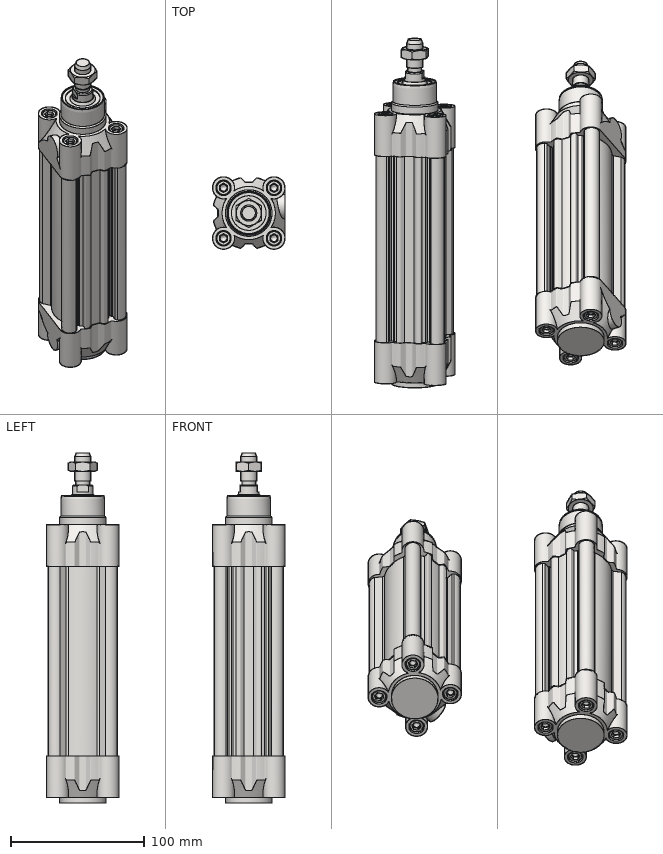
import cadquery as cq
import math

OVERALL_LENGTH = 263.0
PILOT_HEIGHT = 4.2
CAP_HEIGHT = 31.3
TUBE_LENGTH = 142.3
REAR_JOINT_Z = PILOT_HEIGHT + CAP_HEIGHT
FRONT_JOINT_Z = REAR_JOINT_Z + TUBE_LENGTH

CAP_WIDTH = 54.5
LUG_PITCH = 38.0
HALF_PITCH = LUG_PITCH / 2
LUG_RADIUS = (CAP_WIDTH - LUG_PITCH) / 2
CAP_RADIUS = CAP_WIDTH / 2
CONE_TOP_RADIUS = 40.0 / 2
CONE_HEIGHT = 13.2
CONE_SLOPE = (CAP_RADIUS - CONE_TOP_RADIUS) / CONE_HEIGHT
NOTCH_FLOOR = 23.0
NOTCH_FLOOR_HALF_WIDTH = 2.4
NOTCH_FILLET = 0.8
LOBE_FILLET = 0.8
PORT_BOSS_RADIUS = 9.2
PORT_BOSS_Y = 4.7
PORT_BOSS_HEIGHT = 17.4

SCREW_BORE_DIAMETER = 11.5
SCREW_HEAD_DIAMETER = 10.0
SCREW_GAP_DEPTH = 2.5
SCREW_HEAD_SINK = 0.8
SOCKET_WIDTH = 6.0
SOCKET_DEPTH = 2.5
SOCKET_CONE_DIAMETER = 5.0
SOCKET_CONE_DEPTH = 1.5

PILOT_DIAMETER = 35.0
FRONT_PILOT_HEIGHT = 5.5
PILOT_CHAMFER = 1.3
NOSE_DIAMETER = 33.0
NOSE_TOP_DIAMETER = 32.0
NOSE_TAPER_HEIGHT = 2.5
NOSE_STEP_DIAMETER = 30.8
NOSE_STEP_DEPTH = 0.5
NOSE_HEIGHT = 21.8
NOSE_RECESS_DIAMETER = 26.0
NOSE_RECESS_DEPTH = 1.3
WIPER_BASE_DIAMETER = 19.2
WIPER_TOP_DIAMETER = 16.3
WIPER_HEIGHT = 2.0

TUBE_WIDTH = 52.0
CORNER_RADIUS = 6.0
CORNER_CENTER = TUBE_WIDTH / 2 - CORNER_RADIUS
FLANK_END = 17.0
BARREL_RADIUS = 23.5
LEDGE_INNER = 10.5
RIB_FOOT = 3.7
RIB_OUTER = 9.5
RIB_TOP = 25.5
RIB_FILLET = 0.8
SLOT_INNER = 11.8
SLOT_OUTER = 15.8
SLOT_SHOULDER = 19.5
SLOT_FLOOR = 17.4
SLOT_SHOULDER_WIDTH = 1.0

ROD_DIAMETER = 15.5
ROD_CHAMFER = 0.8
ROD_SHOULDER_Z = 238.8
FLATS_WIDTH = 13.0
FLATS_HEIGHT = 5.0
NECK_DIAMETER = 10.5
NECK_HEIGHT = 3.2
THREAD_DIAMETER = 12.0
THREAD_CHAMFER_HEIGHT = 3.0
THREAD_TIP_DIAMETER = 10.0
NUT_WIDTH = 19.0
NUT_HEIGHT = 7.0
NUT_Z = 249.0
NUT_FACE_DIAMETER = 18.7
NUT_CHAMFER_ANGLE = 30.0

TALL = OVERALL_LENGTH


def disc(diameter, z, height):
    return cq.Workplane("XY").workplane(offset=z).circle(diameter / 2).extrude(height)


def cone(bottom_diameter, top_diameter, z, height):
    solid = cq.Solid.makeCone(bottom_diameter / 2, top_diameter / 2, height, pnt=cq.Vector(0, 0, z))
    return cq.Workplane(solid)


def hexagon(width, z, height):
    """Hexagonal prism with flats facing +X and -X."""
    corner_diameter = width / math.cos(math.radians(30))
    return (
        cq.Workplane("XY").workplane(offset=z)
        .transformed(rotate=(0, 0, 30)).polygon(6, corner_diameter).extrude(height)
    )


def lug_places(body):
    """Copies of a body at the four lug axes."""
    return [
        body.translate((x, y, 0))
        for x in (-HALF_PITCH, HALF_PITCH)
        for y in (-HALF_PITCH, HALF_PITCH)
    ]


def make_notch(turn):
    """Flared notch in the middle of a cap side, with 45 degree flanks."""
    outer = CAP_RADIUS + 2.5
    outer_half_width = NOTCH_FLOOR_HALF_WIDTH + outer - NOTCH_FLOOR
    return (
        cq.Workplane("XY")
        .polyline([
            (-NOTCH_FLOOR_HALF_WIDTH, -NOTCH_FLOOR),
            (NOTCH_FLOOR_HALF_WIDTH, -NOTCH_FLOOR),
            (outer_half_width, -outer),
            (-outer_half_width, -outer),
        ])
        .close().extrude(CAP_HEIGHT)
        .edges("|Z").edges(">Y").fillet(NOTCH_FILLET)
        .rotate((0, 0, 0), (0, 0, 1), turn)
    )


def make_screw_recess():
    """Counterbore around a sunk screw head that has a hexagon socket."""
    head_top = CAP_HEIGHT - SCREW_HEAD_SINK
    socket_floor = head_top - SOCKET_DEPTH
    head = disc(SCREW_HEAD_DIAMETER, 0, head_top)
    return (
        disc(SCREW_BORE_DIAMETER, CAP_HEIGHT - SCREW_GAP_DEPTH, SCREW_GAP_DEPTH)
        .cut(head)
        .union(hexagon(SOCKET_WIDTH, socket_floor, SOCKET_DEPTH))
        .union(cone(0, SOCKET_CONE_DIAMETER, socket_floor - SOCKET_CONE_DEPTH, SOCKET_CONE_DEPTH))
    )


def fillet_lobes(body):
    """Round the vertical edges where the lobes meet the notches and the lugs."""
    def is_lobe_edge(edge):
        point = edge.Center()
        radius = math.hypot(point.x, point.y)
        return point.x < HALF_PITCH and radius > CAP_RADIUS - 0.3
    edges = [edge for edge in body.edges("|Z").vals() if is_lobe_edge(edge)]
    return body.newObject(edges).fillet(LOBE_FILLET)


def make_cap_block():
    """End cap with its tube joint at Z = 0 and its lug tops facing up."""
    body = disc(CAP_WIDTH, 0, CAP_HEIGHT)
    port_side = cq.Workplane("XY").box(CAP_RADIUS, LUG_PITCH, CAP_HEIGHT, centered=(False, True, False))
    body = body.union(port_side)

    for turn in (0, -90, 180):
        body = body.cut(make_notch(turn))
    lugs = lug_places(disc(2 * LUG_RADIUS, 0, CAP_HEIGHT))
    for lug in lugs:
        body = body.union(lug)
    body = fillet_lobes(body)

    wide_diameter = 2 * CAP_WIDTH
    cone_height = (wide_diameter / 2 - CONE_TOP_RADIUS) / CONE_SLOPE
    slope = cone(wide_diameter, 2 * CONE_TOP_RADIUS, CAP_HEIGHT - cone_height, cone_height)
    body = body.intersect(slope)

    port_boss = (
        cq.Workplane("YZ").center(PORT_BOSS_Y, PORT_BOSS_HEIGHT)
        .circle(PORT_BOSS_RADIUS).extrude(CAP_RADIUS)
    )
    body = body.union(port_boss)

    for lug in lugs:
        body = body.union(lug)
    for recess in lug_places(make_screw_recess()):
        body = body.cut(recess)
    return body


def make_front_cap():
    lug_top = FRONT_JOINT_Z + CAP_HEIGHT
    nose_top = lug_top + NOSE_HEIGHT
    taper_z = nose_top - NOSE_TAPER_HEIGHT
    recess_floor = nose_top - NOSE_RECESS_DEPTH
    pilot = disc(PILOT_DIAMETER, lug_top, FRONT_PILOT_HEIGHT + PILOT_CHAMFER)
    pilot = pilot.faces(">Z").chamfer(PILOT_CHAMFER)
    nose_taper = cone(NOSE_DIAMETER, NOSE_TOP_DIAMETER, taper_z, NOSE_TAPER_HEIGHT)
    return (
        make_cap_block().translate((0, 0, FRONT_JOINT_Z))
        .union(pilot)
        .union(disc(NOSE_DIAMETER, lug_top, taper_z - lug_top))
        .union(nose_taper)
        .cut(disc(NOSE_STEP_DIAMETER, nose_top - NOSE_STEP_DEPTH, NOSE_STEP_DEPTH))
        .cut(disc(NOSE_RECESS_DIAMETER, recess_floor, NOSE_RECESS_DEPTH))
        .union(cone(WIPER_BASE_DIAMETER, WIPER_TOP_DIAMETER, recess_floor, WIPER_HEIGHT))
        .cut(disc(ROD_DIAMETER, FRONT_JOINT_Z, TALL))
    )


def make_rear_cap():
    block = make_cap_block().mirror("XY").translate((0, 0, REAR_JOINT_Z))
    return block.union(disc(PILOT_DIAMETER, 0, PILOT_HEIGHT))


def barrel_y(x):
    return math.sqrt(BARREL_RADIUS ** 2 - x ** 2)


def prism(points):
    return cq.Workplane("XY").polyline(points).close().extrude(TUBE_LENGTH)


def make_trough(floor, rim):
    """Trough between two tube corners on the -Y side, with 45 degree flanks up to the beads."""
    floor_half_width = FLANK_END - (rim - floor)
    return prism([
        (-floor_half_width, -floor), (floor_half_width, -floor), (FLANK_END, -rim),
        (FLANK_END, -TUBE_WIDTH), (-FLANK_END, -TUBE_WIDTH), (-FLANK_END, -rim),
    ])


def make_rib():
    """Rib with one 45 degree flank, rounded along its top."""
    top_inner = RIB_FOOT + RIB_TOP - barrel_y(RIB_FOOT)
    return prism([
        (RIB_FOOT, barrel_y(RIB_FOOT)), (top_inner, RIB_TOP), (RIB_OUTER, RIB_TOP),
        (RIB_OUTER, SLOT_SHOULDER), (RIB_FOOT, SLOT_SHOULDER),
    ]).edges("|Z and >Y").fillet(RIB_FILLET)


def make_slot():
    """Sensor slot: a wide mouth down to its shoulders, then a narrower channel."""
    rim = TUBE_WIDTH / 2
    channel_inner = SLOT_INNER + SLOT_SHOULDER_WIDTH
    channel_outer = SLOT_OUTER - SLOT_SHOULDER_WIDTH
    return prism([
        (SLOT_INNER, rim), (SLOT_INNER, SLOT_SHOULDER), (channel_inner, SLOT_SHOULDER),
        (channel_inner, SLOT_FLOOR), (channel_outer, SLOT_FLOOR),
        (channel_outer, SLOT_SHOULDER), (SLOT_OUTER, SLOT_SHOULDER), (SLOT_OUTER, rim),
    ])


def make_tube():
    rim = CORNER_CENTER + math.sqrt(CORNER_RADIUS ** 2 - (CORNER_CENTER - FLANK_END) ** 2)
    tube = (
        cq.Workplane("XY").rect(2 * rim, 2 * rim).extrude(TUBE_LENGTH)
        .edges("|Z").chamfer(rim - FLANK_END)
    )
    bead = disc(2 * CORNER_RADIUS, 0, TUBE_LENGTH).translate((CORNER_CENTER, CORNER_CENTER, 0))
    for corner in four_mirrored(bead):
        tube = tube.union(corner)

    x_trough = make_trough(barrel_y(LEDGE_INNER), rim)
    y_trough = make_trough(rim - (FLANK_END - SLOT_INNER), rim)
    for turn in (0, 180):
        tube = tube.cut(y_trough.rotate((0, 0, 0), (0, 0, 1), turn))
        tube = tube.cut(x_trough.rotate((0, 0, 0), (0, 0, 1), turn + 90))
    tube = tube.union(disc(2 * BARREL_RADIUS, 0, TUBE_LENGTH))
    for rib in four_mirrored(make_rib()):
        tube = tube.union(rib)
    for slot in four_mirrored(make_slot()):
        tube = tube.cut(slot)
    return tube.translate((0, 0, REAR_JOINT_Z))


def four_mirrored(body):
    """A body and its mirror images across the XZ and YZ planes."""
    pair = [body, body.mirror("YZ")]
    return pair + [copy.mirror("XZ") for copy in pair]


def make_rod():
    neck_top = ROD_SHOULDER_Z + NECK_HEIGHT
    tip_z = OVERALL_LENGTH - THREAD_CHAMFER_HEIGHT
    shaft = disc(ROD_DIAMETER, FRONT_JOINT_Z, ROD_SHOULDER_Z - FRONT_JOINT_Z)
    shaft = shaft.faces(">Z").chamfer(ROD_CHAMFER)
    for side in (-1, 1):
        flat = cq.Workplane("XY").box(ROD_DIAMETER, ROD_DIAMETER, FLATS_HEIGHT)
        flat_x = side * (FLATS_WIDTH + ROD_DIAMETER) / 2
        shaft = shaft.cut(flat.translate((flat_x, 0, ROD_SHOULDER_Z - FLATS_HEIGHT / 2)))
    return (
        shaft.union(disc(NECK_DIAMETER, ROD_SHOULDER_Z, NECK_HEIGHT))
        .union(disc(THREAD_DIAMETER, neck_top, tip_z - neck_top))
        .union(cone(THREAD_DIAMETER, THREAD_TIP_DIAMETER, tip_z, THREAD_CHAMFER_HEIGHT))
    )


def make_nut():
    corner_radius = NUT_WIDTH / 2 / math.cos(math.radians(30))
    face_radius = NUT_FACE_DIAMETER / 2
    drop = (corner_radius - face_radius) * math.tan(math.radians(NUT_CHAMFER_ANGLE))
    envelope = (
        cq.Workplane("XZ")
        .polyline([
            (0, 0), (face_radius, 0), (corner_radius, drop),
            (corner_radius, NUT_HEIGHT - drop), (face_radius, NUT_HEIGHT), (0, NUT_HEIGHT),
        ])
        .close().revolve(360, (0, 0, 0), (0, 1, 0))
    )
    nut = hexagon(NUT_WIDTH, 0, NUT_HEIGHT).intersect(envelope)
    return nut.cut(disc(THREAD_DIAMETER, 0, NUT_HEIGHT)).translate((0, 0, NUT_Z))


front_cap = make_front_cap()
rear_cap = make_rear_cap()
tube = make_tube()
rod = make_rod()
nut = make_nut()

result = cq.Compound.makeCompound([
    front_cap.val(), rear_cap.val(), tube.val(), rod.val(), nut.val(),
])